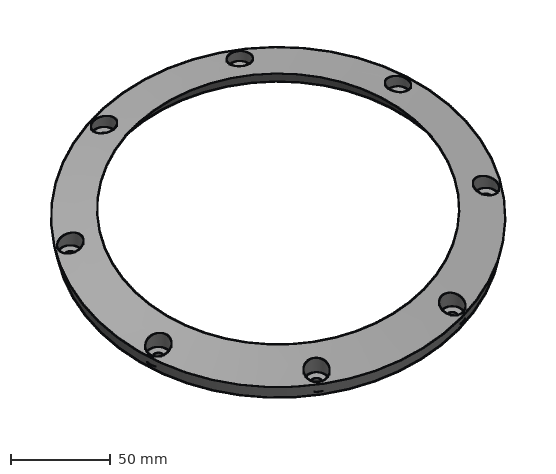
import cadquery as cq

outer_radius = 113.8
base_radius = 112.2
top_inner_radius = 90.5
base_inner_radius = 99.2
height = 16.0
rim_height = 9.8

hole_count = 8
hole_circle_radius = 105.8
first_hole_angle = 30.0
hole_diameter = 5.5
counterbore_diameter = 13.2
floor_thickness = 2.7


def make_ring():
    """Ring with a flared outer wall and a conical top and bore that narrow upward."""
    profile = [
        (base_inner_radius, 0),
        (base_radius, 0),
        (outer_radius, rim_height),
        (top_inner_radius, height),
    ]
    return cq.Workplane("XZ").polyline(profile).close().revolve(360, (0, 0), (0, 1))


def make_hole_cutters():
    """Through holes with flat-bottomed counterbores open at the top."""
    through = (
        cq.Workplane("XY")
        .polarArray(hole_circle_radius, first_hole_angle, 360, hole_count)
        .circle(hole_diameter / 2)
        .extrude(height)
    )
    counterbores = (
        cq.Workplane("XY", origin=(0, 0, floor_thickness))
        .polarArray(hole_circle_radius, first_hole_angle, 360, hole_count)
        .circle(counterbore_diameter / 2)
        .extrude(height)
    )
    return through.union(counterbores)


result = make_ring().cut(make_hole_cutters())